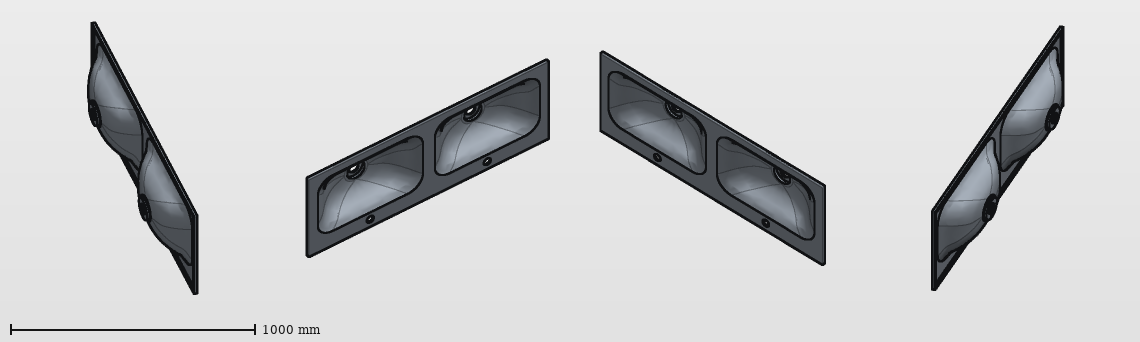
import cadquery as cq

length = 1200.0
height = 450.0
total_depth = 124.0
sheet = 7.0

rim_depth = 14.0
rim_width = 12.0
rim_draft = 4.0
corner_radius = 4.0
edge_radius = 2.0

bowl_spacing = 584.0
bowl_z = 20.0
bowl_xs = (-bowl_spacing / 2, bowl_spacing / 2)
side_wall_inset = 2.0
bowl_sections = [
    (sheet, 265.0, 162.0, 77.0),
    (18.0, 244.0, 149.0, 77.0),
    (36.0, 217.0, 132.0, 77.0),
    (62.0, 190.0, 121.0, 77.0),
    (86.0, 152.0, 103.0, 74.0),
    (101.0, 115.0, 85.0, 67.0),
    (110.0, 60.0, 58.0, 55.0),
]
bowl_depth = bowl_sections[-1][0]

neck_diameter = 98.0
neck_collar_diameter = 113.0
neck_collar_depth = 113.0
drain_recess_diameter = 86.0
drain_floor = 5.0
drain_hole_diameter = 45.0
tap_hole_diameter = 35.0
tap_z = -180.0


def plane_at(depth, x=0, z=0):
    """Sketch plane at a depth, with local Y along +Z and extrusion towards -Y."""
    return cq.Workplane("XZ", origin=(x, -depth, z))


def disc(x, z, diameter, start, end):
    """Cylinder along Y between two depths."""
    return plane_at(start, x, z).circle(diameter / 2).extrude(end - start)


def bowl_solid(x, inset=0, rise=0):
    """Smooth bowl through all sections, optionally drawn in and raised to form its cavity."""
    sketches = []
    for depth, half_width, half_height, radius in bowl_sections:
        outline = cq.Sketch().rect(2 * (half_width - inset), 2 * (half_height - inset))
        outline = outline.vertices().fillet(radius - inset)
        sketches.append(outline.moved(cq.Location(cq.Vector(0, 0, depth - rise))))
    return plane_at(0, x, bowl_z).placeSketch(*sketches).loft()


def rimmed_panel():
    """Panel with rounded top edges, hollowed on the underside inside its folded rim."""
    panel = plane_at(0).rect(length, height).extrude(rim_depth)
    panel = panel.edges("|Y").fillet(corner_radius).faces(">Y").edges().fillet(edge_radius)
    opening = (length - 2 * rim_width, height - 2 * rim_width)
    hollow = (
        plane_at(rim_depth)
        .rect(*opening)
        .workplane(offset=sheet - rim_depth)
        .rect(opening[0] - 2 * rim_draft, opening[1] - 2 * rim_draft)
        .loft()
    )
    return panel.cut(hollow)


def drain_neck(x):
    """Drain neck below the bowl floor, with a wider collar where it meets the bowl."""
    root_depth = bowl_depth - sheet / 2
    neck = disc(x, bowl_z, neck_diameter, root_depth, total_depth)
    return neck.union(disc(x, bowl_z, neck_collar_diameter, root_depth, neck_collar_depth))


def drain_passage(x):
    """Recess inside the neck and the drain hole through its floor."""
    top_depth = bowl_depth - 2 * sheet
    recess = disc(x, bowl_z, drain_recess_diameter, top_depth, total_depth - drain_floor)
    return recess.union(disc(x, bowl_z, drain_hole_diameter, top_depth, total_depth))


result = rimmed_panel()
for bowl_x in bowl_xs:
    result = result.union(bowl_solid(bowl_x)).union(drain_neck(bowl_x))
    result = result.cut(bowl_solid(bowl_x, side_wall_inset, sheet))
    result = result.cut(drain_passage(bowl_x))
    result = result.cut(disc(bowl_x, tap_z, tap_hole_diameter, 0, rim_depth))